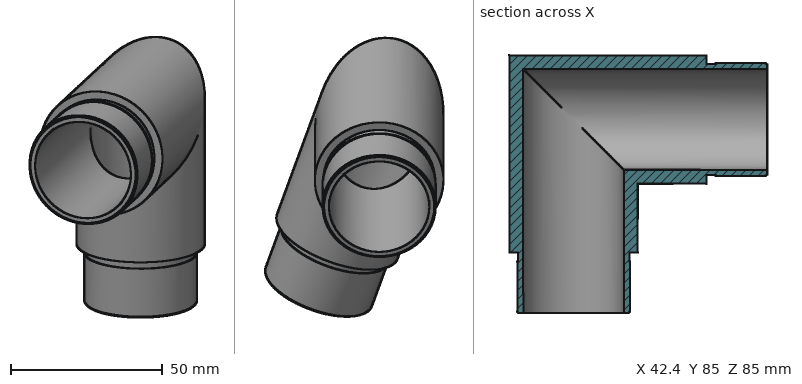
import cadquery as cq

overall_length = 85.0
body_diameter = 42.4
spigot_diameter = 37.3
relief_diameter = 36.9
bore_diameter = 33.1
spigot_length = 20.0
relief_length = 3.0
end_chamfer = 0.5

body_radius = body_diameter / 2
bore_radius = bore_diameter / 2
axis_length = overall_length - body_radius
shoulder = axis_length - spigot_length

lower_leg = cq.Workplane(cq.Plane(origin=(0, 0, 0), xDir=(1, 0, 0), normal=(0, 0, -1)))
front_leg = cq.Workplane("XZ")


def mitred_cylinder(leg, other_leg, radius, length):
    """Cylinder along a leg, cut on the 45 degree plane between the legs."""
    along_leg = leg.workplane(offset=-radius).circle(radius).extrude(length + radius)
    leg_direction = leg.plane.zDir
    other_direction = other_leg.plane.zDir
    mitre_plane = cq.Plane(
        origin=(0, 0, 0), xDir=(1, 0, 0), normal=leg_direction - other_direction
    )
    keep_size = 2 * overall_length
    leg_side = cq.Workplane(mitre_plane).rect(keep_size, keep_size).extrude(keep_size)
    return along_leg.intersect(leg_side)


def mitred_elbow(radius, length):
    """Two cylinders of one radius, joined on the mitre plane."""
    lower = mitred_cylinder(lower_leg, front_leg, radius, length)
    front = mitred_cylinder(front_leg, lower_leg, radius, length)
    return lower.union(front)


def spigot(leg):
    """Relief groove next to the shoulder, then the chamfered insert sleeve."""
    relief = leg.workplane(offset=shoulder).circle(relief_diameter / 2).extrude(relief_length)
    sleeve = (
        leg.workplane(offset=shoulder + relief_length)
        .circle(spigot_diameter / 2)
        .extrude(spigot_length - relief_length)
    )
    open_end = cq.DirectionMinMaxSelector(leg.plane.zDir, True)
    return relief.union(sleeve.faces(open_end).edges().chamfer(end_chamfer))


elbow = mitred_elbow(body_radius, shoulder)
for leg in (lower_leg, front_leg):
    elbow = elbow.union(spigot(leg))

result = elbow.cut(mitred_elbow(bore_radius, axis_length))